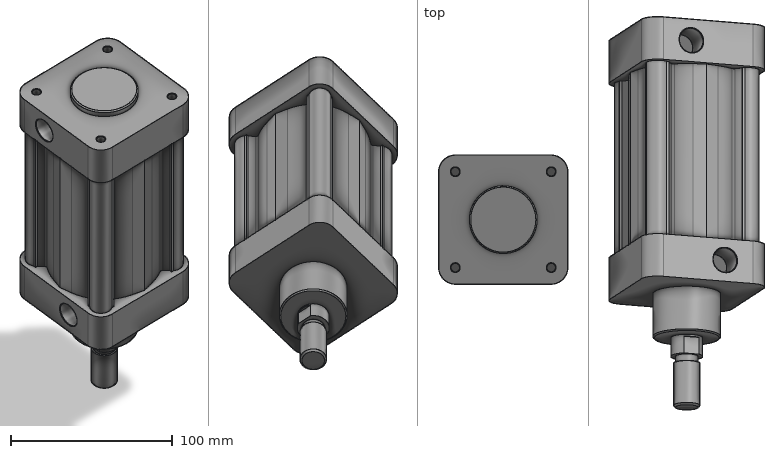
import cadquery as cq
import math

CAP_WIDTH = 80.0
CAP_HEIGHT = 27.0
CAP_CORNER_RADIUS = 10.5
TIE_OFFSET = 29.6
SCREW_HOLE_RADIUS = 2.7
SCREW_HOLE_DEPTH = 14.5
SCREW_HOLE_CHAMFER = 0.35
HUB_RADIUS = 21.0
HUB_CHAMFER = 0.85
REAR_HUB_HEIGHT = 4.0
FRONT_HUB_HEIGHT = 28.0
PORT_OFFSET = 11.0
PORT_RADIUS = 7.7
PORT_DEPTH = 19.3
PORT_CHAMFER = 0.35

BARREL_HEIGHT = 110.9
BARREL_RADIUS = 36.0
RIDGE_ANGLE = 13.3
PILLAR_RADIUS = 7.0
WEB_HALF_WIDTH = 7.0
SHOULDER_OFFSET = 35.5
SHOULDER_START = 24.0
ROOT_FILLET = 1.7

ROD_RADIUS = 10.0
COLLAR_HEIGHT = 1.2
FLAT_HEIGHT = 10.5
ACROSS_FLATS = 17.0
NECK_RADIUS = 7.0
NECK_HEIGHT = 4.3
THREAD_RADIUS = 8.2
THREAD_CHAMFER = 1.2
TOTAL_LENGTH = 241.0

BARREL_BOTTOM = CAP_HEIGHT
BARREL_TOP = BARREL_BOTTOM + BARREL_HEIGHT
REAR_TOP = BARREL_TOP + CAP_HEIGHT
HUB_END = -FRONT_HUB_HEIGHT
FLAT_TOP = HUB_END - COLLAR_HEIGHT
FLAT_BOTTOM = FLAT_TOP - FLAT_HEIGHT
THREAD_TOP = FLAT_BOTTOM - NECK_HEIGHT
ROD_TIP = REAR_TOP + REAR_HUB_HEIGHT - TOTAL_LENGTH

TOLERANCE = 0.02
CORNERS = [(sx * TIE_OFFSET, sy * TIE_OFFSET) for sx in (-1, 1) for sy in (-1, 1)]


def cap_block(bottom):
    return (
        cq.Workplane("XY", origin=(0, 0, bottom))
        .rect(CAP_WIDTH, CAP_WIDTH)
        .extrude(CAP_HEIGHT)
        .edges("|Z")
        .fillet(CAP_CORNER_RADIUS)
    )


def chamfered_hole(radius, depth, chamfer):
    """Hole cutter standing on the XY plane and reaching down, with a chamfered mouth."""
    profile = [(0, 0), (radius + chamfer, 0), (radius, -chamfer), (radius, -depth), (0, -depth)]
    return cq.Workplane("XZ").polyline(profile).close().revolve(360, (0, 0), (0, 1))


def port(x, z):
    cutter = chamfered_hole(PORT_RADIUS, PORT_DEPTH, PORT_CHAMFER)
    return cutter.rotate((0, 0, 0), (1, 0, 0), 90).translate((x, -CAP_WIDTH / 2, z))


def make_rear_cap():
    hub = (
        cq.Workplane("XY", origin=(0, 0, REAR_TOP))
        .circle(HUB_RADIUS)
        .extrude(REAR_HUB_HEIGHT)
        .faces(">Z")
        .chamfer(HUB_CHAMFER)
    )
    cap = cap_block(BARREL_TOP).union(hub)
    screw_hole = chamfered_hole(SCREW_HOLE_RADIUS, SCREW_HOLE_DEPTH, SCREW_HOLE_CHAMFER)
    for x, y in CORNERS:
        cap = cap.cut(screw_hole.translate((x, y, REAR_TOP)))
    return cap.cut(port(-PORT_OFFSET, BARREL_TOP + CAP_HEIGHT / 2))


def make_front_cap():
    hub = (
        cq.Workplane("XY", origin=(0, 0, HUB_END))
        .circle(HUB_RADIUS)
        .extrude(FRONT_HUB_HEIGHT)
        .faces("<Z")
        .chamfer(HUB_CHAMFER)
    )
    return cap_block(0).union(hub).cut(port(PORT_OFFSET, CAP_HEIGHT / 2))


def barrel_prism(points):
    return cq.Workplane("XY", origin=(0, 0, BARREL_BOTTOM)).polyline(points).close().extrude(BARREL_HEIGHT)


def quarter_turns(shape):
    return [shape.rotate((0, 0, 0), (0, 0, 1), 90 * turn) for turn in range(4)]


def ridge():
    """Shallow roof on the -Y side, its two flats tangent to the round of the barrel."""
    angle = math.radians(RIDGE_ANGLE)
    half_width = BARREL_RADIUS * math.sin(angle)
    tangent_depth = BARREL_RADIUS * math.cos(angle)
    peak_depth = BARREL_RADIUS / math.cos(angle)
    return barrel_prism([(0, 0), (half_width, -tangent_depth), (0, -peak_depth), (-half_width, -tangent_depth)])


def web():
    """Diagonal web toward the +X +Y corner, with a small square shoulder on each side of the pillar."""
    half_span = math.sqrt(2) * WEB_HALF_WIDTH
    shoulder_foot = SHOULDER_START + half_span
    shoulder_end = TIE_OFFSET - math.sqrt(PILLAR_RADIUS**2 - (SHOULDER_OFFSET - TIE_OFFSET) ** 2)
    lower_side = [
        (half_span, 0),
        (shoulder_foot, SHOULDER_START),
        (SHOULDER_OFFSET, SHOULDER_START),
        (SHOULDER_OFFSET, shoulder_end),
    ]
    upper_side = [(y, x) for x, y in reversed(lower_side)]
    return barrel_prism(lower_side + upper_side)


def is_web_root(edge):
    """True for an upright edge where a web leaves the round of the barrel."""
    centre = edge.Center()
    from_axis = math.hypot(centre.x, centre.y)
    from_diagonal = abs(abs(centre.x) - abs(centre.y)) / math.sqrt(2)
    return abs(from_axis - BARREL_RADIUS) < TOLERANCE and abs(from_diagonal - WEB_HALF_WIDTH) < TOLERANCE


def make_barrel():
    """Round barrel with a shallow ridge on each side and a webbed pillar at each corner."""
    base = cq.Workplane("XY", origin=(0, 0, BARREL_BOTTOM))
    barrel = base.circle(BARREL_RADIUS).extrude(BARREL_HEIGHT)
    for corner_web in quarter_turns(web()):
        barrel = barrel.union(corner_web)
    barrel = barrel.edges("|Z").filter(is_web_root).fillet(ROOT_FILLET)
    for side_ridge in quarter_turns(ridge()):
        barrel = barrel.union(side_ridge)
    pillars = base.pushPoints(CORNERS).circle(PILLAR_RADIUS).extrude(BARREL_HEIGHT)
    return barrel.union(pillars)


def make_rod():
    """Rod end below the front hub: collar, wrench flats across Y, neck and thread."""
    profile = [
        (0, HUB_END),
        (ROD_RADIUS, HUB_END),
        (ROD_RADIUS, FLAT_BOTTOM),
        (NECK_RADIUS, FLAT_BOTTOM),
        (NECK_RADIUS, THREAD_TOP),
        (THREAD_RADIUS, THREAD_TOP),
        (THREAD_RADIUS, ROD_TIP + THREAD_CHAMFER),
        (THREAD_RADIUS - THREAD_CHAMFER, ROD_TIP),
        (0, ROD_TIP),
    ]
    rod = cq.Workplane("XZ").polyline(profile).close().revolve(360, (0, 0), (0, 1))
    slab_size = 2 * ROD_RADIUS
    for side in (-1, 1):
        slab_offset = side * (ACROSS_FLATS + slab_size) / 2
        slab = cq.Workplane("XY", origin=(0, slab_offset, FLAT_BOTTOM)).rect(slab_size, slab_size)
        rod = rod.cut(slab.extrude(FLAT_HEIGHT))
    return rod


rear_cap = make_rear_cap()
front_cap = make_front_cap()
barrel = make_barrel()
rod = make_rod()

result = cq.Compound.makeCompound([rear_cap.val(), front_cap.val(), barrel.val(), rod.val()])